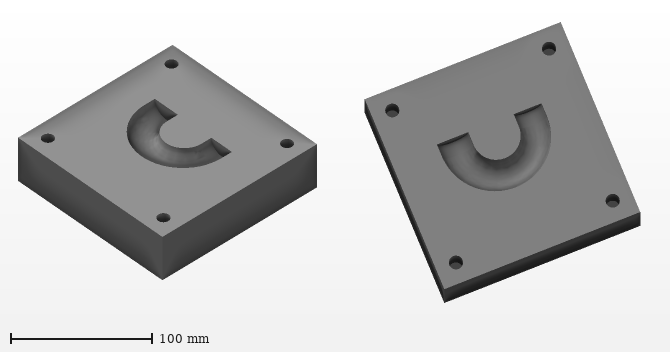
import cadquery as cq

side = 150.0
height = 40.0

hole_diameter = 10.0
hole_spacing = 120.0
hole_depth = 20.0

channel_outer_radius = 40.0
left_leg_width = 24.0
right_leg_width = 21.3
leg_end_y = 25.0
bend_centre_y = 15.0

left_leg_x = -channel_outer_radius + left_leg_width / 2
right_leg_x = channel_outer_radius - right_leg_width / 2
bend_centre_x = (left_leg_x + right_leg_x) / 2
bend_radius = (right_leg_x - left_leg_x) / 2


def leg_section(x, width):
    """Full circle across a leg, where the leg meets the bend."""
    return cq.Workplane("XZ", origin=(x, bend_centre_y, height)).circle(width / 2)


def leg_cutter(x, width):
    """Straight round bar from the bend to the flat end of the leg."""
    return leg_section(x, width).extrude(bend_centre_y - leg_end_y)


def bend_cutter():
    """Round bar along a half circle, tapering from the left leg to the right."""
    path = (
        cq.Workplane("XY", origin=(0, 0, height))
        .moveTo(left_leg_x, bend_centre_y)
        .threePointArc(
            (bend_centre_x, bend_centre_y - bend_radius),
            (right_leg_x, bend_centre_y),
        )
    )
    sections = leg_section(left_leg_x, left_leg_width)
    right_section = leg_section(right_leg_x, right_leg_width)
    return sections.add(right_section).toPending().sweep(path, multisection=True)


block = cq.Workplane("XY").box(side, side, height, centered=(True, True, False))

drilled_block = (
    block.faces(">Z")
    .workplane()
    .rect(hole_spacing, hole_spacing, forConstruction=True)
    .vertices()
    .hole(hole_diameter, hole_depth)
)

result = (
    drilled_block.cut(bend_cutter())
    .cut(leg_cutter(left_leg_x, left_leg_width))
    .cut(leg_cutter(right_leg_x, right_leg_width))
)